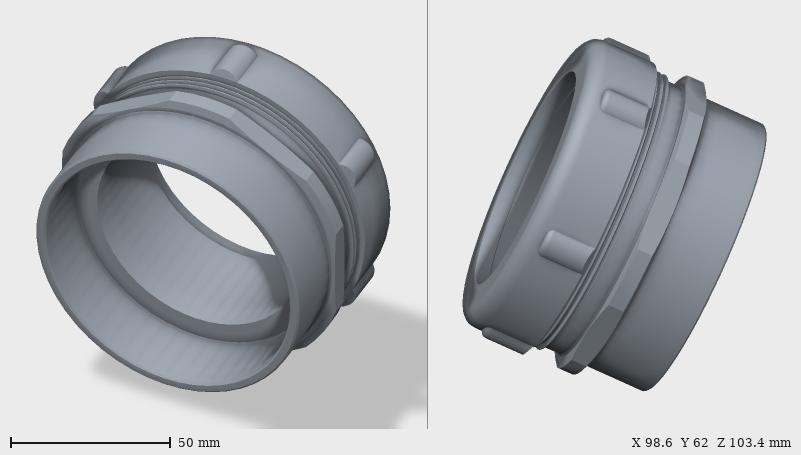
import cadquery as cq
import math

TOTAL_LENGTH = 62.0

BARREL_DIA = 91.69
SOCKET_DIA = 84.93
SOCKET_FLOOR_DIA = 84.0
BORE_DIA = 70.6
SOCKET_DEPTH = 22.5
RIM_CHAMFER = 0.6
FLANGE_DIA = 100.1
FLANGE_ACROSS_FLATS = 95.2
FLANGE_START = 22.0
FLANGE_THICKNESS = 7.0
FLANGE_CHAMFER = 0.9
FLANGE_FOOT = 0.5
FLAT_COUNT = 6

THREAD_DIA = 94.72
THREAD_ROOT_DIA = 91.73
THREAD_PITCH = 2.0
THREAD_START = 35.0
THREAD_END = 50.0
CREST_POSITION = 38.0
RIDGE_BASE_WIDTH = 1.7
RIDGE_CREST_WIDTH = 0.3
RIDGE_ROOT_OVERLAP = 0.4

NUT_DIA = 98.58
NUT_START = 40.0
NUT_EDGE_RADIUS = 5.0
NUT_WALL_END = 5.0
NUT_MOUTH_DIA = 73.0
LUG_COUNT = 6
LUG_TIP_RADIUS = 103.4 / 2
LUG_RADIUS = 5.7
LUG_END = 56.0
LUG_END_RADIUS = 2.0
LUG_CHAMFER = 1.2
LUG_FIRST_ANGLE = 30.0

SHOULDER_END = TOTAL_LENGTH - NUT_WALL_END


def lay_along_y(shape):
    """Turn a shape built along Z so that its axis points along +Y and local +Y points along -Z."""
    return shape.rotate((0, 0, 0), (1, 0, 0), -90)


def revolved(points):
    """Full turn about Z of an outline given as (radius, height) points."""
    return cq.Workplane("XZ").polyline(points).close().revolve(360, (0, 0, 0), (0, 1, 0))


def ring(outer_dia, inner_dia, start, end):
    disc = cq.Workplane("XY").workplane(offset=start).circle(outer_dia / 2)
    return disc.circle(inner_dia / 2).extrude(end - start)


def make_flange():
    """Hexagon with rounded corners, coned on both faces, blended into the barrel by small feet."""
    barrel_radius = BARREL_DIA / 2
    flat_radius = FLANGE_ACROSS_FLATS / 2
    corner_radius = FLANGE_DIA / 2
    end = FLANGE_START + FLANGE_THICKNESS
    turned = revolved([
        (0, FLANGE_START - FLANGE_FOOT),
        (barrel_radius, FLANGE_START - FLANGE_FOOT),
        (barrel_radius + FLANGE_FOOT, FLANGE_START),
        (flat_radius, FLANGE_START),
        (corner_radius, FLANGE_START + FLANGE_CHAMFER),
        (corner_radius, end - FLANGE_CHAMFER),
        (flat_radius, end),
        (barrel_radius + FLANGE_FOOT, end),
        (barrel_radius, end + FLANGE_FOOT),
        (0, end + FLANGE_FOOT),
    ])
    across_corners = FLANGE_ACROSS_FLATS / math.cos(math.pi / FLAT_COUNT)
    hexagon = (
        cq.Workplane("XY")
        .polygon(FLAT_COUNT, across_corners)
        .extrude(TOTAL_LENGTH)
        .rotate((0, 0, 0), (0, 0, 1), 180 / FLAT_COUNT)
    )
    return turned.intersect(hexagon)


def make_thread():
    """Helical ridge, trimmed square at both ends of the thread."""
    root_radius = BARREL_DIA / 2 - RIDGE_ROOT_OVERLAP
    crest_radius = THREAD_DIA / 2
    turns_below = math.ceil((CREST_POSITION - THREAD_START) / THREAD_PITCH) + 1
    ridge_start = CREST_POSITION - turns_below * THREAD_PITCH
    turns = math.ceil((THREAD_END - ridge_start) / THREAD_PITCH) + 1
    half_base = RIDGE_BASE_WIDTH / 2
    half_crest = RIDGE_CREST_WIDTH / 2

    path = cq.Wire.makeHelix(THREAD_PITCH, turns * THREAD_PITCH, root_radius)
    ridge = (
        cq.Workplane("XZ")
        .polyline([
            (root_radius, -half_base),
            (crest_radius, -half_crest),
            (crest_radius, half_crest),
            (root_radius, half_base),
        ])
        .close()
        .sweep(cq.Workplane(path), isFrenet=True)
        .translate((0, 0, ridge_start))
    )
    trim = ring(THREAD_DIA + THREAD_PITCH, BARREL_DIA - THREAD_PITCH, THREAD_START, THREAD_END)
    return ridge.intersect(trim)


def make_body():
    barrel_radius = BARREL_DIA / 2
    socket_radius = SOCKET_DIA / 2
    floor_radius = SOCKET_FLOOR_DIA / 2
    barrel = revolved([
        (0, 0),
        (barrel_radius - RIM_CHAMFER, 0),
        (barrel_radius, RIM_CHAMFER),
        (barrel_radius, THREAD_START),
        (THREAD_ROOT_DIA / 2, THREAD_START),
        (THREAD_ROOT_DIA / 2, SHOULDER_END),
        (0, SHOULDER_END),
    ])
    cavity = revolved([
        (0, 0),
        (socket_radius + RIM_CHAMFER, 0),
        (socket_radius, RIM_CHAMFER),
        (socket_radius, SOCKET_DEPTH - (socket_radius - floor_radius)),
        (floor_radius, SOCKET_DEPTH),
        (BORE_DIA / 2, SOCKET_DEPTH),
        (BORE_DIA / 2, SHOULDER_END),
        (0, SHOULDER_END),
    ])
    return lay_along_y(barrel.union(make_thread()).union(make_flange()).cut(cavity))


def make_lug(angle):
    """Round rib sunk into the nut, rounded at the far end."""
    return (
        cq.Workplane("XY")
        .workplane(offset=NUT_START)
        .center(LUG_TIP_RADIUS - LUG_RADIUS, 0)
        .circle(LUG_RADIUS)
        .extrude(LUG_END - NUT_START)
        .faces(">Z")
        .edges()
        .fillet(LUG_END_RADIUS)
        .rotate((0, 0, 0), (0, 0, 1), angle)
    )


def make_nut():
    nut_radius = NUT_DIA / 2
    nut = (
        cq.Workplane("XY")
        .workplane(offset=NUT_START)
        .circle(nut_radius)
        .extrude(TOTAL_LENGTH - NUT_START)
        .faces(">Z")
        .edges()
        .fillet(NUT_EDGE_RADIUS)
    )
    for index in range(LUG_COUNT):
        nut = nut.union(make_lug(LUG_FIRST_ANGLE + index * 360 / LUG_COUNT))

    lug_slope = revolved([
        (nut_radius, NUT_START),
        (LUG_TIP_RADIUS, NUT_START),
        (LUG_TIP_RADIUS, NUT_START + LUG_CHAMFER),
    ])
    nut = nut.cut(lug_slope)

    bore = cq.Workplane("XY").circle(THREAD_DIA / 2).extrude(SHOULDER_END)
    mouth = cq.Workplane("XY").circle(NUT_MOUTH_DIA / 2).extrude(TOTAL_LENGTH)
    return lay_along_y(nut.cut(bore).cut(mouth))


body = make_body()
nut = make_nut()

result = cq.Compound.makeCompound([body.solids().val(), nut.solids().val()])